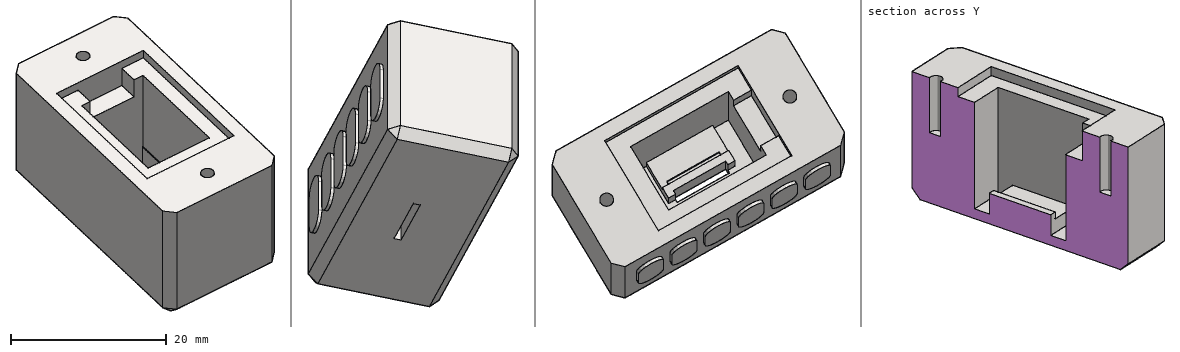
import cadquery as cq

body_length = 34.62
body_width = 17.7
body_height = 18.3
body_chamfer = 1.3

recess_length = 19.8
recess_width = 13.75
recess_depth = 1.3

cavity_length = 14.5
cavity_width = 9.6
floor_thickness = 1.5
rear_relief = 0.1
rear_ledge_height = 3.0

notch_width = 6.95
notch_depth = 3.0

support_length = 9.85
seat_height = 2.0
bar_height = 3.0
bar_front_y = -0.7
bar_rear_y = 0.9

slot_length = 7.75
slot_rear_y = 1.3
slot_front_y = -1.35
slit_front_y = 0.35
groove_depth = 0.5

screw_hole_diameter = 1.75
screw_hole_spacing = 27.2
screw_hole_depth = 8.0

pad_count = 6
pad_pitch = 4.96
pad_width = 3.75
pad_height = 8.4
pad_thickness = 0.45
pad_center_z = 9.9

recess_floor_z = body_height - recess_depth
cavity_front_y = -cavity_width / 2
cavity_rear_y = cavity_width / 2
seat_top_z = floor_thickness + seat_height
bar_top_z = floor_thickness + bar_height


def block(x_range, y_range, z_range):
    """Axis-aligned block between the given limits."""
    size = [high - low for low, high in (x_range, y_range, z_range)]
    corner = (x_range[0], y_range[0], z_range[0])
    return cq.Workplane("XY").box(*size, centered=False).translate(corner)


def centered_span(length):
    """Limits of a length centred on zero."""
    return (-length / 2, length / 2)


def make_body():
    """Box with equal chamfers on its upright and bottom edges."""
    body = cq.Workplane("XY").box(body_length, body_width, body_height, centered=(True, True, False))
    return body.edges("|Z or <Z").chamfer(body_chamfer)


def make_opening():
    """Recess, cavity, rear wall relief and left notch as one cutting solid."""
    recess = block(
        centered_span(recess_length),
        centered_span(recess_width),
        (recess_floor_z, body_height),
    )
    cavity = block(
        centered_span(cavity_length),
        (cavity_front_y, cavity_rear_y),
        (floor_thickness, body_height),
    )
    relief = block(
        centered_span(cavity_length),
        (cavity_front_y, cavity_rear_y + rear_relief),
        (floor_thickness + rear_ledge_height, body_height),
    )
    notch = block(
        (-recess_length / 2, 0),
        centered_span(notch_width),
        (recess_floor_z - notch_depth, body_height),
    )
    return recess.union(cavity).union(relief).union(notch)


def make_support():
    """Low seat against the front cavity wall, with the taller bar behind it."""
    span = centered_span(support_length)
    seat = block(span, (cavity_front_y, bar_front_y), (floor_thickness, seat_top_z))
    bar = block(span, (bar_front_y, bar_rear_y), (floor_thickness, bar_top_z))
    return seat.union(bar)


def make_slot():
    """Slit through the floor and bar, and the blind groove in the seat."""
    span = centered_span(slot_length)
    slit = block(span, (slit_front_y, slot_rear_y), (0, bar_top_z))
    groove = block(span, (slot_front_y, bar_front_y), (seat_top_z - groove_depth, seat_top_z))
    return slit.union(groove)


def make_screw_holes():
    """Blind holes drilled down from the top face."""
    return (
        cq.Workplane("XY", origin=(0, 0, body_height))
        .rarray(screw_hole_spacing, 1, 2, 1)
        .circle(screw_hole_diameter / 2)
        .extrude(-screw_hole_depth)
    )


def make_pads():
    """Row of upright rounded pads standing out from the rear face."""
    return (
        cq.Workplane("XZ", origin=(0, body_width / 2, pad_center_z))
        .rarray(pad_pitch, 1, pad_count, 1)
        .slot2D(pad_height, pad_width, 90)
        .extrude(-pad_thickness)
    )


result = (
    make_body()
    .cut(make_opening())
    .union(make_support())
    .cut(make_slot())
    .cut(make_screw_holes())
    .union(make_pads())
)